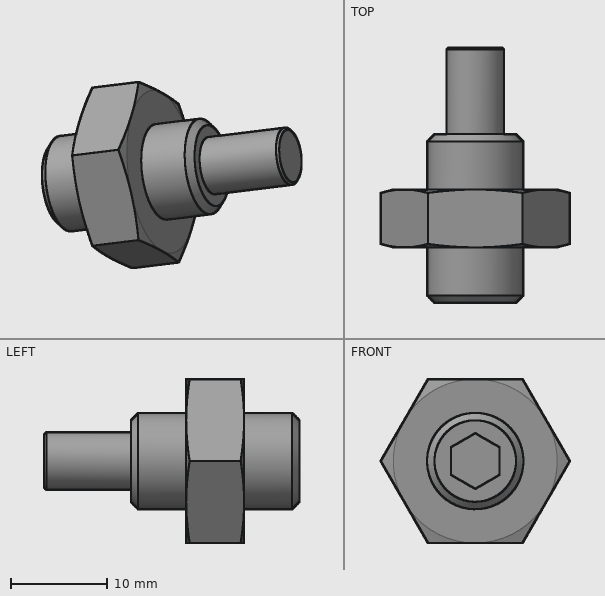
import cadquery as cq
import math

THREAD_DIAMETER = 10.0
THREAD_LENGTH = 17.5
THREAD_CHAMFER = 0.77
POINT_DIAMETER = 6.0
POINT_LENGTH = 9.0
POINT_CHAMFER = 0.25

SOCKET_ACROSS_FLATS = 5.0
SOCKET_DEPTH = 5.0

NUT_ACROSS_FLATS = 17.0
NUT_THICKNESS = 6.0
NUT_CHAMFER_ANGLE = 15.0
NUT_OFFSET = 5.75

SOCKET_END = 0.0
SHOULDER = SOCKET_END + THREAD_LENGTH
NUT_FRONT = SOCKET_END + NUT_OFFSET


def plane_at(y):
    """Plane across the screw axis at y, with its normal along +Y and its local x along +X."""
    return cq.Plane(origin=(0, y, 0), xDir=(1, 0, 0), normal=(0, 1, 0))


def across_corners(across_flats):
    return across_flats / math.cos(math.radians(30))


def cylinder(start, length, diameter):
    return cq.Workplane(plane_at(start)).circle(diameter / 2).extrude(length)


def make_screw():
    thread = cylinder(SOCKET_END, THREAD_LENGTH, THREAD_DIAMETER).edges("%CIRCLE").chamfer(THREAD_CHAMFER)
    point = cylinder(SHOULDER, POINT_LENGTH, POINT_DIAMETER).faces(">Y").edges().chamfer(POINT_CHAMFER)
    socket = (
        cq.Workplane(plane_at(SOCKET_END))
        .transformed(rotate=(0, 0, 90))
        .polygon(6, across_corners(SOCKET_ACROSS_FLATS))
        .extrude(SOCKET_DEPTH)
    )
    return thread.union(point).cut(socket)


def make_nut():
    corner_radius = across_corners(NUT_ACROSS_FLATS) / 2
    flat_radius = NUT_ACROSS_FLATS / 2
    chamfer_height = (corner_radius - flat_radius) * math.tan(math.radians(NUT_CHAMFER_ANGLE))
    nut_back = NUT_FRONT + NUT_THICKNESS

    hexagon = cq.Workplane(plane_at(NUT_FRONT)).polygon(6, 2 * corner_radius).extrude(NUT_THICKNESS)
    blank = (
        cq.Workplane("XY")
        .moveTo(0, NUT_FRONT)
        .lineTo(flat_radius, NUT_FRONT)
        .lineTo(corner_radius, NUT_FRONT + chamfer_height)
        .lineTo(corner_radius, nut_back - chamfer_height)
        .lineTo(flat_radius, nut_back)
        .lineTo(0, nut_back)
        .close()
        .revolve(360, (0, 0, 0), (0, 1, 0))
    )
    bore = cylinder(NUT_FRONT, NUT_THICKNESS, THREAD_DIAMETER)
    return hexagon.intersect(blank).cut(bore)


screw = make_screw()
nut = make_nut()

result = cq.Compound.makeCompound([screw.val(), nut.val()])